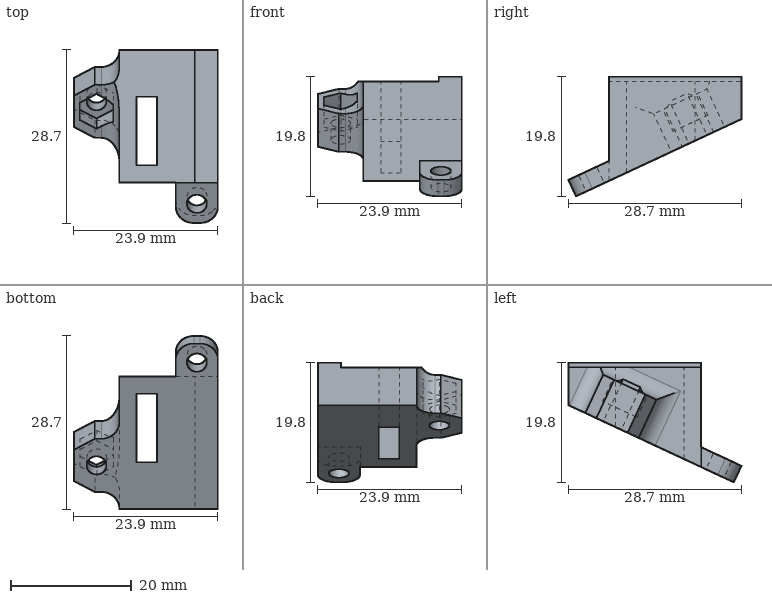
import cadquery as cq
import math

body_width = 16.36
body_length = 22.0
body_height = 16.5
slope_angle = 25
strip_width = 3.88
strip_height = 0.8

slot_width = 3.4
slot_length = 11.3
slot_from_side = 2.87
slot_from_front = 2.9

tab_width = 7.0
tab_reach = 6.0
tab_thickness = 3.01
tab_corner_radius = 3.0
tab_hole_reach = 2.5
tab_overlap = 3.45
screw_diameter = 3.3

boss_reach = 7.52
boss_width = 9.73
boss_height = 7.0
boss_tip_width = 5.7
boss_taper_angle = 30
boss_from_back = 7.98
boss_fillet = 3.0
nut_across_flats = 5.48
nut_depth = 4.0

slope = math.radians(slope_angle)
boss_center_x = -boss_reach / 2
boss_center_y = body_length / math.cos(slope) - boss_from_back
cut_height = 2 * boss_height


def tilt(shape):
    """Turn a shape built on a level underside onto the sloped underside."""
    return shape.rotate((0, 0, 0), (1, 0, 0), slope_angle)


def make_body():
    rise = body_length * math.tan(slope)
    side_outline = [(0, 0), (body_length, rise), (body_length, body_height), (0, body_height)]
    block = cq.Workplane("YZ").polyline(side_outline).close().extrude(body_width)
    strip = cq.Workplane("XY").box(strip_width, body_length, strip_height, centered=False)
    strip = strip.translate((body_width - strip_width, 0, body_height))
    return block.union(strip)


def make_slot():
    slot = cq.Workplane("XY").box(slot_width, slot_length, body_height, centered=False)
    return slot.translate((slot_from_side, slot_from_front, 0))


def make_tab():
    hole_x = body_width - tab_width / 2
    tab = cq.Workplane("XY").box(tab_width, tab_reach + tab_overlap, tab_thickness, centered=False)
    tab = tab.translate((body_width - tab_width, -tab_reach, 0))
    tab = tab.edges("|Z and <Y").fillet(tab_corner_radius)
    hole = cq.Workplane("XY").center(hole_x, -tab_hole_reach).circle(screw_diameter / 2)
    return tilt(tab.cut(hole.extrude(tab_thickness)))


def make_boss():
    """Tapered boss that flares into the body at both sides and at the top."""
    half_width = boss_width / 2
    half_tip = boss_tip_width / 2
    taper_x = -boss_reach + (half_width - half_tip) / math.tan(math.radians(boss_taper_angle))
    arc_offset = boss_fillet * (1 - math.sqrt(0.5))
    flared_width = half_width + boss_fillet
    flared_height = boss_height + boss_fillet

    plan = (
        cq.Workplane("XY")
        .center(0, boss_center_y)
        .moveTo(-boss_reach, -half_tip)
        .lineTo(taper_x, -half_width)
        .lineTo(-boss_fillet, -half_width)
        .threePointArc((-arc_offset, -half_width - arc_offset), (0, -flared_width))
        .lineTo(0, flared_width)
        .threePointArc((-arc_offset, half_width + arc_offset), (-boss_fillet, half_width))
        .lineTo(taper_x, half_width)
        .lineTo(-boss_reach, half_tip)
        .close()
        .extrude(flared_height)
    )
    profile = (
        cq.Workplane("XZ", origin=(0, boss_center_y, 0))
        .moveTo(-boss_reach, 0)
        .lineTo(-boss_reach, boss_height)
        .lineTo(-boss_fillet, boss_height)
        .threePointArc((-arc_offset, boss_height + arc_offset), (0, flared_height))
        .lineTo(0, 0)
        .close()
        .extrude(flared_width, both=True)
    )
    return tilt(plan.intersect(profile))


def make_nut_recess():
    """Hexagonal nut pocket with a screw hole through its floor."""
    center = cq.Workplane("XY").center(boss_center_x, boss_center_y)
    nut_diameter = nut_across_flats / math.cos(math.pi / 6)
    pocket = center.transformed(rotate=(0, 0, 90), offset=(0, 0, boss_height - nut_depth))
    pocket = pocket.polygon(6, nut_diameter).extrude(cut_height)
    hole = center.circle(screw_diameter / 2).extrude(boss_height)
    return tilt(pocket.union(hole))


def trim_to_body_top(shape):
    span = 4 * body_length
    below_top = cq.Workplane("XY").workplane(offset=body_height).rect(span, span).extrude(-span)
    return shape.intersect(below_top)


boss = trim_to_body_top(make_boss())
result = make_body().union(boss).union(make_tab()).cut(make_slot()).cut(make_nut_recess())